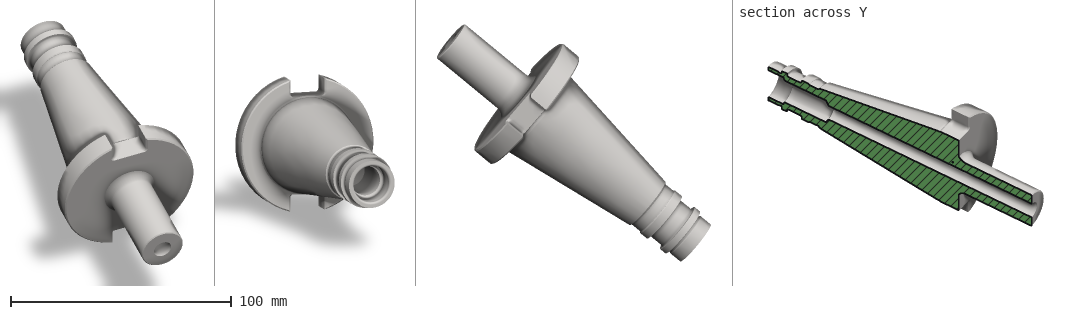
import cadquery as cq
import math

TOTAL_LENGTH = 145.0
FLANGE_FRONT = 94.8
FLANGE_BACK = 105.0

LIP_RADIUS = 10.9
LIP_LENGTH = 5.8
NECK_RADIUS = 10.6
LIP_BEVEL = 0.5
COLLAR_1_RADIUS = 12.3
COLLAR_1_START = 7.5
COLLAR_1_END = 10.7
COLLAR_1_FILLET = 0.6
COLLAR_2_RADIUS = 12.5
COLLAR_2_START = 18.4
COLLAR_2_END = 22.8
COLLAR_2_BEVEL = 0.5
RELIEF_RADIUS = 11.9
RELIEF_FILLET = 0.3
NECK_FILLET = 0.7

TAPER_START = 28.1
TAPER_END = 93.1
TAPER_LARGE_RADIUS = 22.2
TAPER_HALF_SLOPE = 7 / 48
TAPER_BEVEL = 0.5
FLANGE_ROOT_FILLET = 0.7

FLANGE_RADIUS = 31.5
FLANGE_BEVEL = 0.6
SLOT_WIDTH = 16.2
SLOT_FLOOR = 22.5
SLOT_FILLET = 1.6
SLOT_CLEARANCE = 1.5
SLOT_BEVEL_ACROSS = 0.9
SLOT_BEVEL_DEPTH = 0.6

NOSE_RADIUS = 10.0
NOSE_ROOT_LENGTH = 3.9
NOSE_ROOT_RADIUS = 12.2
NOSE_BEVEL = 0.5

MOUTH_ROUND = 1.0
COUNTERBORE_RADIUS = 8.4
COUNTERBORE_DEPTH = 8.5
THREAD_ENTRY_RADIUS = 8.0
THREAD_BORE_RADIUS = 6.8
THREAD_BORE_END = 31.9
THROUGH_RADIUS = 4.2
CONE_ANGLE = 120.0


def revolve_about_x(profile):
    return profile.close().revolve(360, (0, 0, 0), (1, 0, 0))


def make_body():
    """Revolve the stepped outer contour, from the tail to the nose."""
    taper_face_radius = TAPER_LARGE_RADIUS - TAPER_HALF_SLOPE * (TAPER_END - TAPER_START)
    taper_rim_radius = taper_face_radius + TAPER_HALF_SLOPE * TAPER_BEVEL
    root_height = NOSE_ROOT_RADIUS - NOSE_RADIUS
    root_arc = (NOSE_ROOT_LENGTH**2 + root_height**2) / (2 * root_height)
    nose_start = FLANGE_BACK + NOSE_ROOT_LENGTH
    half_angle = math.asin(NOSE_ROOT_LENGTH / root_arc) / 2
    root_middle = (
        nose_start - root_arc * math.sin(half_angle),
        NOSE_RADIUS + root_arc * (1 - math.cos(half_angle)),
    )
    profile = (
        cq.Workplane("XZ")
        .moveTo(0, 0)
        .lineTo(0, LIP_RADIUS)
        .lineTo(LIP_LENGTH, LIP_RADIUS)
        .lineTo(LIP_LENGTH + LIP_BEVEL, NECK_RADIUS)
        .lineTo(COLLAR_1_START - COLLAR_1_FILLET, NECK_RADIUS)
        .radiusArc((COLLAR_1_START, NECK_RADIUS + COLLAR_1_FILLET), -COLLAR_1_FILLET)
        .lineTo(COLLAR_1_START, COLLAR_1_RADIUS)
        .lineTo(COLLAR_1_END, COLLAR_1_RADIUS)
        .lineTo(COLLAR_1_END, NECK_RADIUS + NECK_FILLET)
        .radiusArc((COLLAR_1_END + NECK_FILLET, NECK_RADIUS), -NECK_FILLET)
        .lineTo(COLLAR_2_START - NECK_FILLET, NECK_RADIUS)
        .radiusArc((COLLAR_2_START, NECK_RADIUS + NECK_FILLET), -NECK_FILLET)
        .lineTo(COLLAR_2_START, COLLAR_2_RADIUS)
        .lineTo(COLLAR_2_END - COLLAR_2_BEVEL, COLLAR_2_RADIUS)
        .lineTo(COLLAR_2_END, RELIEF_RADIUS + RELIEF_FILLET)
        .radiusArc((COLLAR_2_END + RELIEF_FILLET, RELIEF_RADIUS), -RELIEF_FILLET)
        .lineTo(TAPER_START - TAPER_BEVEL, RELIEF_RADIUS)
        .lineTo(TAPER_START, taper_face_radius - TAPER_BEVEL)
        .lineTo(TAPER_START + TAPER_BEVEL, taper_rim_radius)
        .lineTo(TAPER_END, TAPER_LARGE_RADIUS)
        .lineTo(FLANGE_FRONT - FLANGE_ROOT_FILLET, TAPER_LARGE_RADIUS)
        .radiusArc((FLANGE_FRONT, TAPER_LARGE_RADIUS + FLANGE_ROOT_FILLET), -FLANGE_ROOT_FILLET)
        .lineTo(FLANGE_FRONT, FLANGE_RADIUS - FLANGE_BEVEL)
        .lineTo(FLANGE_FRONT + FLANGE_BEVEL, FLANGE_RADIUS)
        .lineTo(FLANGE_BACK - FLANGE_BEVEL, FLANGE_RADIUS)
        .lineTo(FLANGE_BACK, FLANGE_RADIUS - FLANGE_BEVEL)
        .lineTo(FLANGE_BACK, NOSE_ROOT_RADIUS)
        .threePointArc(root_middle, (nose_start, NOSE_RADIUS))
        .lineTo(TOTAL_LENGTH - NOSE_BEVEL, NOSE_RADIUS)
        .lineTo(TOTAL_LENGTH, NOSE_RADIUS - NOSE_BEVEL)
        .lineTo(TOTAL_LENGTH, 0)
    )
    return revolve_about_x(profile)


def make_bore():
    """Rounded mouth, counterbore and thread bore, then a hole through the nose."""
    slope = math.tan(math.radians(CONE_ANGLE / 2))
    entry_length = (THREAD_ENTRY_RADIUS - THREAD_BORE_RADIUS) / slope
    drill_point_length = (THREAD_BORE_RADIUS - THROUGH_RADIUS) / slope
    profile = (
        cq.Workplane("XZ")
        .moveTo(0, 0)
        .lineTo(0, COUNTERBORE_RADIUS + MOUTH_ROUND)
        .radiusArc((MOUTH_ROUND, COUNTERBORE_RADIUS), -MOUTH_ROUND)
        .lineTo(COUNTERBORE_DEPTH, COUNTERBORE_RADIUS)
        .lineTo(COUNTERBORE_DEPTH, THREAD_ENTRY_RADIUS)
        .lineTo(COUNTERBORE_DEPTH + entry_length, THREAD_BORE_RADIUS)
        .lineTo(THREAD_BORE_END, THREAD_BORE_RADIUS)
        .lineTo(THREAD_BORE_END + drill_point_length, THROUGH_RADIUS)
        .lineTo(TOTAL_LENGTH, THROUGH_RADIUS)
        .lineTo(TOTAL_LENGTH, 0)
    )
    return revolve_about_x(profile)


def slot_outline(plane, half_width):
    """U-shaped slot section with rounded floor corners, open above the flange."""
    top = FLANGE_RADIUS + SLOT_CLEARANCE
    corner = SLOT_FLOOR + SLOT_FILLET
    floor_half_width = half_width - SLOT_FILLET
    return (
        plane.moveTo(-half_width, top)
        .lineTo(-half_width, corner)
        .radiusArc((-floor_half_width, SLOT_FLOOR), -SLOT_FILLET)
        .lineTo(floor_half_width, SLOT_FLOOR)
        .radiusArc((half_width, corner), -SLOT_FILLET)
        .lineTo(half_width, top)
        .close()
    )


def make_slot():
    """Cutter for the upper driving slot, flared where its walls meet the flange faces."""
    half_wall = SLOT_WIDTH / 2
    slot = slot_outline(cq.Workplane("YZ", origin=(FLANGE_FRONT, 0, 0)), half_wall)
    slot = slot.extrude(FLANGE_BACK - FLANGE_FRONT)
    for face_x, inward in ((FLANGE_FRONT, SLOT_BEVEL_DEPTH), (FLANGE_BACK, -SLOT_BEVEL_DEPTH)):
        mouth = slot_outline(cq.Workplane("YZ", origin=(face_x, 0, 0)), half_wall + SLOT_BEVEL_ACROSS)
        flare = slot_outline(mouth.workplane(offset=inward, origin=(face_x, 0, 0)), half_wall)
        slot = slot.union(flare.loft(ruled=True))
    return slot


body = make_body().cut(make_bore())
upper_slot = make_slot()
lower_slot = upper_slot.rotate((0, 0, 0), (1, 0, 0), 180)
result = body.cut(upper_slot).cut(lower_slot)